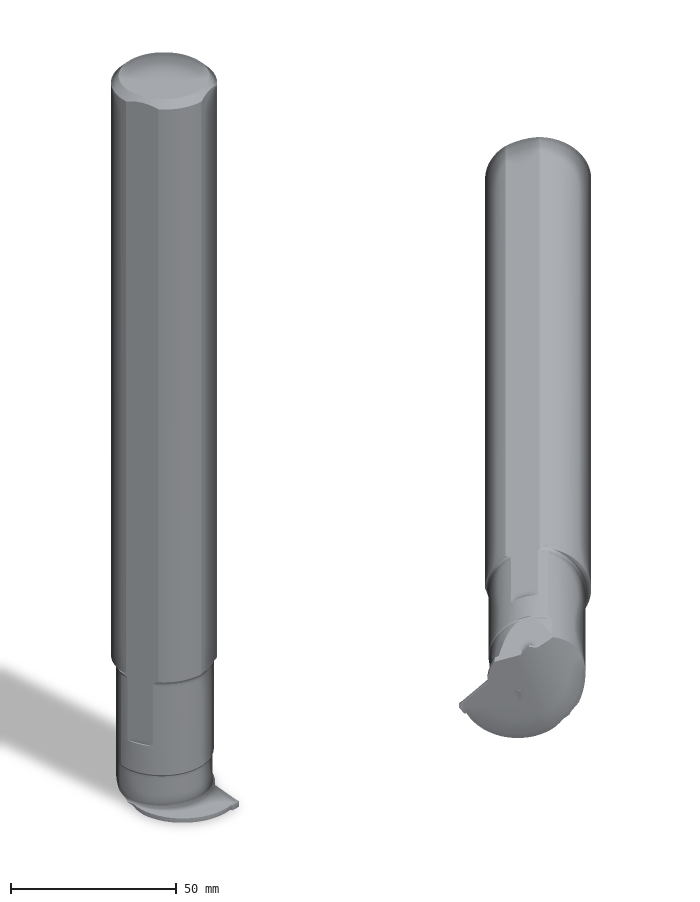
import cadquery as cq
import math

total_length = 250.0
shank_radius = 16.0
flat_distance = 15.05
top_chamfer = 2.3
head_length = 46.2
flat_end_height = 23.1

head_x = -0.7
head_radius = 15.65
root_height = 1.2
root_flare = 0.4
neck_radius = 15.3
neck_top = 12.5
neck_chamfer_height = 0.6
relief_reach = -14.0
relief_radius = 18.6
heel_radius = 24.4
heel_center_x = 3.4

back_top_y = 15.4
back_top_height = neck_top + neck_chamfer_height
back_bottom_y = 11.8

blade_bottom = 0.25
blade_top = 1.75
blade_radius = 17.35
blade_x = 7.0
blade_y = -1.55
blade_fillet = 0.7

insert_right = 25.57
insert_length = 19.6
insert_left = insert_right - insert_length
insert_top_y = 1.75
insert_bottom_y = -4.05
tip_y = -1.05
tip_taper = 5.2
tip_clearance = 0.8
tip_thickness = 2.0
tip_flare_length = 1.5

OVER = 60.0


def box(x_range, y_range, z_range):
    size = [high - low for low, high in (x_range, y_range, z_range)]
    corner = (x_range[0], y_range[0], z_range[0])
    return cq.Workplane("XY").box(*size, centered=False).translate(corner)


def make_shank():
    length = total_length - head_length
    shank = cq.Workplane("XY", origin=(0, 0, head_length)).circle(shank_radius).extrude(length)
    shank = shank.faces(">Z").chamfer(top_chamfer)
    flats = box((-OVER, flat_distance), (-flat_distance, flat_distance), (0, total_length))
    return shank.intersect(flats)


def make_head_round():
    """Turned shape of the head, from the blade up to the shank."""
    foot_radius = neck_radius + blade_fillet
    arc_offset = blade_fillet * (1 - math.sqrt(0.5))
    return (
        cq.Workplane("XZ")
        .moveTo(0, blade_bottom)
        .lineTo(foot_radius, blade_bottom)
        .lineTo(foot_radius, blade_top)
        .threePointArc(
            (neck_radius + arc_offset, blade_top + arc_offset),
            (neck_radius, blade_top + blade_fillet),
        )
        .lineTo(neck_radius, neck_top)
        .lineTo(head_radius, neck_top + neck_chamfer_height)
        .lineTo(head_radius, head_length - root_height)
        .lineTo(head_radius + root_flare, head_length)
        .lineTo(0, head_length)
        .close()
        .revolve(360, (0, 0, 0), (0, 1, 0))
        .translate((head_x, 0, 0))
    )


def make_relief():
    """Round that bounds the -X side of the head, flared where it meets the shank."""
    return (
        cq.Workplane("XZ")
        .lineTo(relief_radius, 0)
        .lineTo(relief_radius, head_length - root_height)
        .lineTo(relief_radius + root_flare, head_length)
        .lineTo(0, head_length)
        .close()
        .revolve(360, (0, 0, 0), (0, 1, 0))
        .translate((relief_reach + relief_radius, 0, 0))
    )


def make_back_slope():
    return (
        cq.Workplane("YZ", origin=(-OVER, 0, 0))
        .polyline([
            (back_top_y, back_top_height),
            (back_bottom_y, 0),
            (OVER, 0),
            (OVER, back_top_height),
        ])
        .close()
        .extrude(2 * OVER)
    )


def make_head():
    head = make_head_round().intersect(make_relief())
    for y_range in ((-OVER, -flat_distance), (flat_distance, OVER)):
        head = head.cut(box((-OVER, OVER), y_range, (flat_end_height, head_length)))
    flare_top = box((-OVER, flat_distance), (-OVER, OVER), (0, head_length))
    return head.intersect(flare_top).cut(make_back_slope())


def make_blade():
    """Round plate, cut back along the sloping line of the insert's cutting end."""
    slope = (tip_y - insert_top_y) / tip_taper
    rise = slope * (OVER + insert_right)
    gullet = (
        cq.Workplane("XY")
        .polyline([
            (-OVER, tip_y - rise),
            (insert_right, tip_y),
            (OVER, tip_y),
            (OVER, tip_y - rise),
        ])
        .close()
        .extrude(blade_top)
    )
    blade = cq.Workplane("XY", origin=(blade_x, blade_y, blade_bottom)).circle(blade_radius)
    return blade.extrude(blade_top - blade_bottom).cut(gullet)


def make_heel():
    """Space kept by the rounded underside on the -X side."""
    arc_top = blade_bottom + heel_radius
    corner = heel_radius * math.sqrt(0.5)
    return (
        cq.Workplane("XZ", origin=(0, OVER, 0))
        .moveTo(OVER, blade_bottom)
        .lineTo(heel_center_x, blade_bottom)
        .threePointArc(
            (heel_center_x - corner, arc_top - corner),
            (heel_center_x - heel_radius, arc_top),
        )
        .lineTo(heel_center_x - heel_radius, head_length)
        .lineTo(OVER, head_length)
        .close()
        .extrude(2 * OVER)
    )


def make_insert():
    outline = (
        cq.Workplane("XY")
        .polyline([
            (insert_left + tip_clearance, insert_bottom_y),
            (insert_right - tip_clearance, insert_bottom_y),
            (insert_right, tip_y),
            (insert_right - tip_taper, insert_top_y),
            (insert_left + tip_taper, insert_top_y),
            (insert_left, tip_y),
        ])
        .close()
        .extrude(tip_thickness)
    )
    waist = (
        cq.Workplane("XZ", origin=(0, OVER, 0))
        .polyline([
            (insert_left, 0),
            (insert_left + tip_flare_length, blade_bottom),
            (insert_right - tip_flare_length, blade_bottom),
            (insert_right, 0),
            (insert_right, tip_thickness),
            (insert_right - tip_flare_length, blade_top),
            (insert_left + tip_flare_length, blade_top),
            (insert_left, tip_thickness),
        ])
        .close()
        .extrude(2 * OVER)
    )
    return outline.intersect(waist)


insert = make_insert()
holder = make_head().union(make_blade()).intersect(make_heel()).union(make_shank()).cut(insert)

result = cq.Compound.makeCompound([holder.solids().val(), insert.val()])